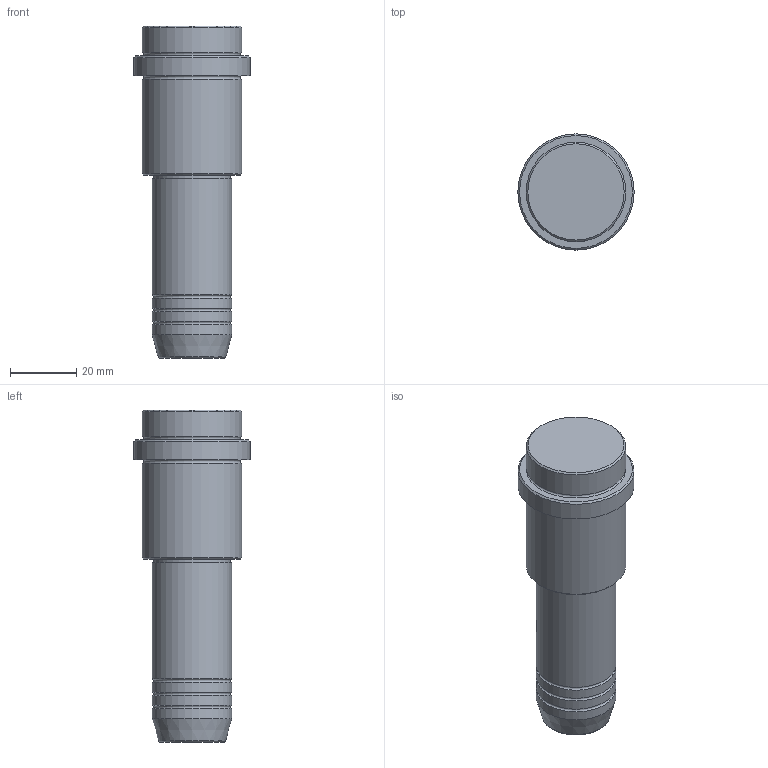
import cadquery as cq
import math

length = 100.0
collar_radius = 17.5
body_radius = 15.0
shaft_radius = 12.0

collar_top = 91.0
collar_bottom = 85.0
body_bottom = 55.0
nose_start = 7.0

edge_break = 0.5
nose_angle = 15.0

groove_radius = 0.5
groove_count = 3
groove_pitch = 4.0
lowest_groove_level = 10.5

undercut_depth = 0.5
undercut_width = 1.0


def cylinder(radius, bottom, top):
    """Solid cylinder on the Z axis between two levels."""
    return cq.Workplane("XY").workplane(offset=bottom).circle(radius).extrude(top - bottom)


def half_round_groove(radius, level):
    """Half-round ring cut into a cylinder, centred on a level; its floor is split into two quarter arcs."""
    arc_offset = groove_radius * math.sqrt(0.5)
    return (
        cq.Workplane("XZ")
        .moveTo(radius, level - groove_radius)
        .threePointArc((radius - arc_offset, level - arc_offset), (radius - groove_radius, level))
        .threePointArc((radius - arc_offset, level + arc_offset), (radius, level + groove_radius))
        .close()
        .revolve(360, (0, 0, 0), (0, 1, 0))
    )


def make_head():
    """Plain head above the collar, with a chamfered top edge."""
    return cylinder(body_radius, collar_top, length).faces(">Z").edges().chamfer(edge_break)


def make_collar():
    """Locating collar, chamfered on its upper edge only."""
    return cylinder(collar_radius, collar_bottom, collar_top).faces(">Z").edges().chamfer(edge_break)


def make_body():
    """Press-fit body below the collar, with a chamfered lower edge."""
    return cylinder(body_radius, body_bottom, collar_bottom).faces("<Z").edges().chamfer(edge_break)


def make_shaft():
    """Guide shaft with a square undercut where it meets the body."""
    undercut_bottom = body_bottom - undercut_width
    neck = cylinder(shaft_radius - undercut_depth, undercut_bottom, body_bottom)
    return cylinder(shaft_radius, nose_start, undercut_bottom).union(neck)


def make_nose():
    """Conical lead-in below the shaft, with a rounded tip edge."""
    tip_radius = shaft_radius - nose_start * math.tan(math.radians(nose_angle))
    cone = cq.Solid.makeCone(tip_radius, shaft_radius, nose_start)
    return cq.Workplane(cone).faces("<Z").edges().fillet(edge_break)


result = make_head().union(make_collar()).union(make_body()).union(make_shaft()).union(make_nose())

result = result.cut(half_round_groove(body_radius, collar_top + groove_radius))
result = result.cut(half_round_groove(body_radius, collar_bottom - groove_radius))

for index in range(groove_count):
    groove_level = lowest_groove_level + index * groove_pitch
    result = result.cut(half_round_groove(shaft_radius, groove_level))